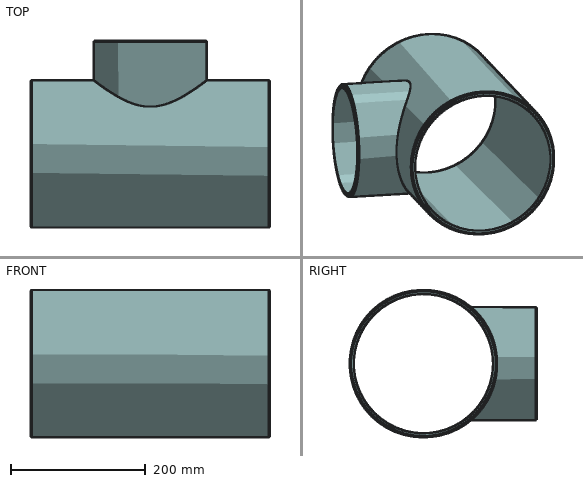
import cadquery as cq

run_length = 355.5
run_diameter = 219.0
run_wall = 6.5
branch_diameter = 168.2
branch_wall = 5.7
branch_reach = 168.2
end_chamfer = 2.0


def run_cylinder(diameter):
    return cq.Workplane("YZ").circle(diameter / 2).extrude(run_length / 2, both=True)


def branch_cylinder(diameter):
    return cq.Workplane("XZ").circle(diameter / 2).extrude(-branch_reach)


run = run_cylinder(run_diameter).faces("<X or >X").chamfer(end_chamfer)
branch = branch_cylinder(branch_diameter).faces(">Y").chamfer(end_chamfer)

run_bore = run_cylinder(run_diameter - 2 * run_wall)
branch_bore = branch_cylinder(branch_diameter - 2 * branch_wall)

result = run.union(branch).cut(run_bore).cut(branch_bore)